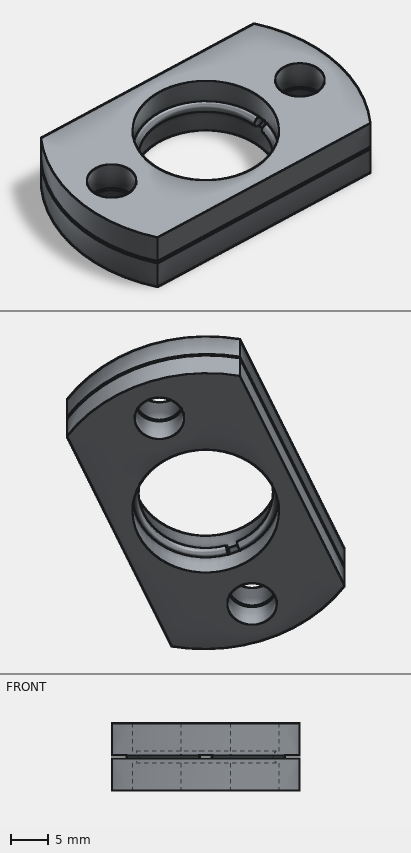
import cadquery as cq

length = 43.85
width = 25.0
end_corner_y = 18.1
height = 9.0
plate_gap = 0.4
plate_thickness = (height - plate_gap) / 2

bore_diameter = 19.5
bolt_hole_diameter = 6.58
bolt_spacing = 32.0

wire_diameter = 1.62
ring_center_radius = bore_diameter / 2
split_angle = 10.0


def plate(bottom_z):
    """Flat-sided plate with arched ends, a central bore and two bolt holes."""
    half_width = width / 2
    half_length = length / 2
    return (
        cq.Workplane("XY", origin=(0, 0, bottom_z))
        .moveTo(-half_width, -end_corner_y)
        .threePointArc((0, -half_length), (half_width, -end_corner_y))
        .lineTo(half_width, end_corner_y)
        .threePointArc((0, half_length), (-half_width, end_corner_y))
        .close()
        .extrude(plate_thickness)
        .faces(">Z").workplane(origin=(0, 0, 0))
        .circle(bore_diameter / 2)
        .cutThruAll()
        .faces(">Z").workplane(origin=(0, 0, 0))
        .pushPoints([(0, -bolt_spacing / 2), (0, bolt_spacing / 2)])
        .circle(bolt_hole_diameter / 2)
        .cutThruAll()
    )


def ring_arc(sweep_angle):
    """Round wire swept about Z, starting on the +X axis."""
    axis_start = (-ring_center_radius, 0)
    axis_end = (-ring_center_radius, 1)
    return (
        cq.Workplane("XZ")
        .center(ring_center_radius, 0)
        .circle(wire_diameter / 2)
        .revolve(sweep_angle, axis_start, axis_end)
    )


plates = plate(plate_gap / 2).union(plate(-plate_gap / 2 - plate_thickness))

result = plates.cut(ring_arc(360))

half_ring = ring_arc(180 - split_angle)
for split_position in (-90, 90):
    start_angle = split_position + split_angle / 2
    result = result.union(half_ring.rotate((0, 0, 0), (0, 0, 1), start_angle))